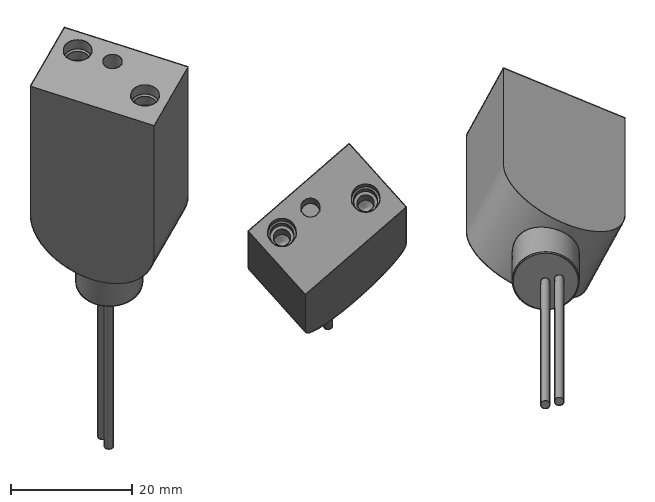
import cadquery as cq

total_height = 90.7
housing_width = 22.2
housing_depth = 14.2
housing_height = 42.7
end_radius = housing_width / 2
housing_bottom = total_height - housing_height
end_center_z = housing_bottom + end_radius

collar_diameter = 11.1
collar_exposed_length = 7.9
collar_insertion = 1.8
collar_chamfer = 0.2
collar_bottom = housing_bottom - collar_exposed_length
collar_top = housing_bottom + collar_insertion

wire_diameter = 1.5
wire_positions = [(-1.8, 1.4), (0.0, -0.2)]

port_mouth_diameter = 4.7
port_mouth_depth = 2.3
port_bore_diameter = 4.0
port_cone_depth = 0.2
port_bore_depth = 4.5
port_drill_diameter = 2.8
port_drill_depth = 9.1
port_tip_depth = 0.8
back_row_y = 3.3
port_positions = [(-7.1, back_row_y), (7.1, -1.5)]

plain_hole_diameter = 3.2
plain_hole_depth = 4.5
plain_hole_position = (-0.8, back_row_y)


def vertical_cylinder(diameter, bottom, top, position=(0, 0)):
    """Cylinder parallel to Z between two heights."""
    return (
        cq.Workplane("XY", origin=(*position, bottom))
        .circle(diameter / 2)
        .extrude(top - bottom)
    )


def make_port_cutter(position):
    """Stepped port: wide mouth, cone down to a bore, then a drilled hole with a conical tip."""
    mouth_radius = port_mouth_diameter / 2
    bore_radius = port_bore_diameter / 2
    drill_radius = port_drill_diameter / 2
    profile = [
        (0, 0),
        (mouth_radius, 0),
        (mouth_radius, -port_mouth_depth),
        (bore_radius, -port_mouth_depth - port_cone_depth),
        (bore_radius, -port_bore_depth),
        (drill_radius, -port_bore_depth),
        (drill_radius, -port_drill_depth),
        (0, -port_drill_depth - port_tip_depth),
    ]
    return (
        cq.Workplane("XZ")
        .polyline(profile)
        .close()
        .revolve(360, (0, 0), (0, 1))
        .translate((*position, total_height))
    )


def make_housing():
    """Block with a half-round lower end, ports on top and a seat for the collar below."""
    housing = (
        cq.Workplane("XZ")
        .moveTo(-end_radius, total_height)
        .lineTo(-end_radius, end_center_z)
        .threePointArc((0, housing_bottom), (end_radius, end_center_z))
        .lineTo(end_radius, total_height)
        .close()
        .extrude(housing_depth / 2, both=True)
    )
    for position in port_positions:
        housing = housing.cut(make_port_cutter(position))
    plain_hole = vertical_cylinder(
        plain_hole_diameter, total_height - plain_hole_depth, total_height, plain_hole_position
    )
    collar_seat = vertical_cylinder(collar_diameter, collar_bottom, collar_top)
    return housing.cut(plain_hole).cut(collar_seat)


def make_collar():
    """Round collar with a chamfered lower rim and a through hole for each wire."""
    collar = vertical_cylinder(collar_diameter, collar_bottom, collar_top)
    collar = collar.faces("<Z").chamfer(collar_chamfer)
    for position in wire_positions:
        collar = collar.cut(vertical_cylinder(wire_diameter, collar_bottom, collar_top, position))
    return collar


def make_wire(position):
    """Straight wire from its free end up to the top of the collar."""
    return vertical_cylinder(wire_diameter, 0, collar_top, position)


housing = make_housing()
collar = make_collar()
wires = [make_wire(position) for position in wire_positions]

result = cq.Compound.makeCompound([housing.val(), collar.val(), *[wire.val() for wire in wires]])